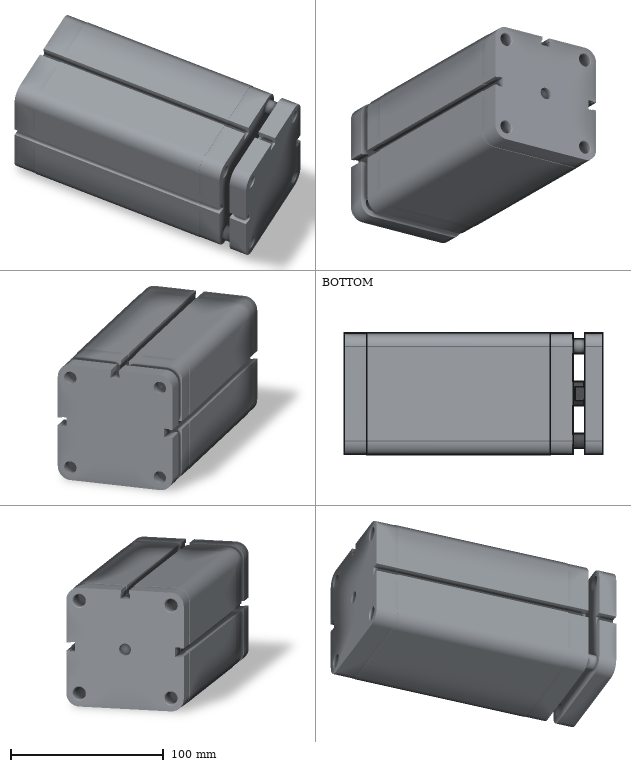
import cadquery as cq


cap_length = 15.0
yoke_gap = 7.5
yoke_thickness = 12.0
total_length = 169.5
barrel_length = total_length - 2 * cap_length - yoke_gap - yoke_thickness

barrel_start = cap_length
front_cap_start = barrel_start + barrel_length
front_cap_end = front_cap_start + cap_length
yoke_start = front_cap_end + yoke_gap

barrel_width = 80.0
corner_spacing = 62.0
corner_offset = corner_spacing / 2
setback = 0.25

slot_neck_width = 5.0
slot_head_width = 6.0
slot_shoulder_depth = 3.0
slot_depth = 6.0

bolt_hole_diameter = 8.5
mouth_chamfer = 0.5
guide_diameter = 9.8
guide_socket_depth = 4.0
bolt_corners = [(-corner_offset, corner_offset), (corner_offset, -corner_offset)]
guide_corners = [(corner_offset, corner_offset), (-corner_offset, -corner_offset)]
all_corners = bolt_corners + guide_corners

centring_diameter = 8.0
centring_depth = 4.0

piston_diameter = 16.1
piston_chamfer = 0.5
across_flats = 13.2
flat_start = front_cap_end + 1.4
flat_bevel_run = 1.0


def section_plane(x):
    """Cross-section plane at station x: local x is Y, local y is Z."""
    return cq.Workplane("YZ", origin=(x, 0, 0))


def cylinders(start, length, diameter, centres):
    return section_plane(start).pushPoints(centres).circle(diameter / 2).extrude(length)


def slot_cutter(start, length, inset):
    """T-slot in the +Z side, grown by inset on every surface of the slot."""
    top = barrel_width / 2
    neck = slot_neck_width / 2 + inset
    head = slot_head_width / 2 + inset
    shoulder = top - slot_shoulder_depth + inset
    floor = top - slot_depth - inset
    outline = [
        (-neck, top), (-neck, shoulder), (-head, shoulder), (-head, floor),
        (head, floor), (head, shoulder), (neck, shoulder), (neck, top),
    ]
    return section_plane(start).polyline(outline).close().extrude(length)


def slotted_block(start, length, inset=0.0):
    """Rounded square block with T-slots in the +Z, +Y and -Y sides."""
    width = barrel_width - 2 * inset
    corner_radius = width / 2 - corner_offset
    block = section_plane(start).rect(width, width).extrude(length).edges("|X").fillet(corner_radius)
    slot = slot_cutter(start, length, inset)
    for angle in (-90, 0, 90):
        block = block.cut(slot.rotate((0, 0, 0), (1, 0, 0), angle))
    return block


def make_housing():
    """Barrel between two slightly smaller end caps, with the holes from both ends."""
    housing = (
        slotted_block(barrel_start, barrel_length)
        .union(slotted_block(0, cap_length, setback))
        .union(slotted_block(front_cap_start, cap_length, setback))
    )

    housing = housing.cut(cylinders(0, front_cap_end, bolt_hole_diameter, bolt_corners))
    housing = housing.cut(cylinders(0, cap_length, bolt_hole_diameter, guide_corners))

    hole_rims = housing.faces("<X").edges("%CIRCLE").edges(cq.selectors.RadiusNthSelector(0))
    housing = hole_rims.chamfer(mouth_chamfer)

    housing = housing.cut(cylinders(0, centring_depth, centring_diameter, [(0, 0)]))

    housing = housing.cut(cylinders(front_cap_start, cap_length, guide_diameter, guide_corners))
    return housing.cut(cylinders(front_cap_start, cap_length, piston_diameter, [(0, 0)]))


def make_yoke():
    """Yoke plate with a through hole and a guide-rod socket at each corner."""
    plate = slotted_block(yoke_start, yoke_thickness, setback)
    plate = plate.cut(cylinders(yoke_start, yoke_thickness, bolt_hole_diameter, all_corners))
    return plate.cut(cylinders(yoke_start, guide_socket_depth, guide_diameter, all_corners))


def make_guide_rod(corner):
    """Plain rod from the bottom of its housing bore to the bottom of its yoke socket."""
    length = cap_length + yoke_gap + guide_socket_depth
    return cylinders(front_cap_start, length, guide_diameter, [corner])


def make_piston_rod():
    """Rod from the bottom of its housing bore to the yoke, with flats on its +Z and -Z sides."""
    rod = cylinders(front_cap_start, yoke_start - front_cap_start, piston_diameter, [(0, 0)])
    rod = rod.faces(">X").chamfer(piston_chamfer)
    radius = piston_diameter / 2
    outline = [
        (flat_start - flat_bevel_run, radius),
        (flat_start, across_flats / 2),
        (yoke_start, across_flats / 2),
        (yoke_start, radius),
    ]
    flat = cq.Workplane("XZ").polyline(outline).close().extrude(radius, both=True)
    return rod.cut(flat).cut(flat.mirror("XY"))


housing = make_housing()
yoke = make_yoke()
piston_rod = make_piston_rod()
guide_rods = [make_guide_rod(corner) for corner in guide_corners]

result = cq.Compound.makeCompound([
    housing.val(),
    yoke.val(),
    piston_rod.val(),
    *[rod.val() for rod in guide_rods],
])